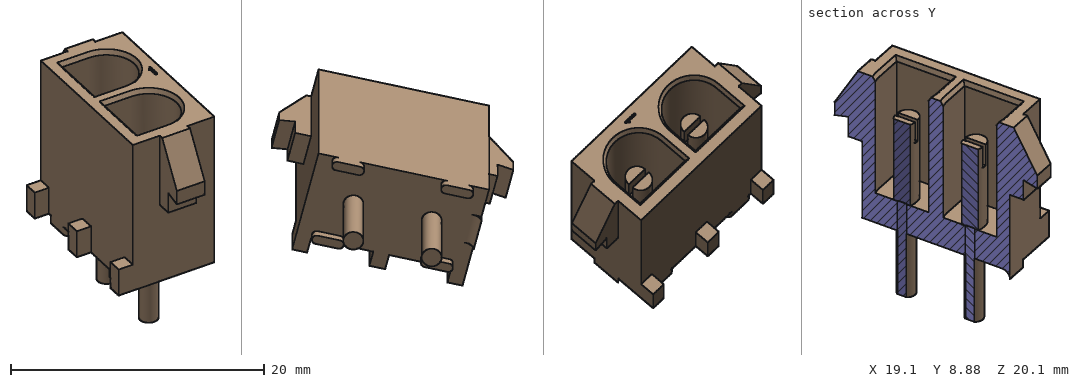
import cadquery as cq
import math


BODY_X = 13.86
BODY_Y = 7.58
BODY_Z = 13.96

PITCH = 6.37
CAVITY_WIDTH = 5.65
CAVITY_DEPTH = 11.08
LEAD_IN_WIDTH = 0.25
LEAD_IN_DEPTH = 0.4

LATCH_WIDTH = 2.58
LATCH_REACH = (19.05 - BODY_X) / 2
LATCH_TOP_REACH = 0.38
LATCH_ROOT_REACH = LATCH_REACH / 2
LATCH_TIP_TOP = 3.79
LATCH_TIP_BOTTOM = 5.08
LATCH_NOTCH_TOP = 4.75
LATCH_ROOT_BOTTOM = 6.63

PEG_DEPTH = 1.3
PEG_HEIGHT = 2.5
CORNER_PEG_WIDTH = 1.23
MIDDLE_PEG_WIDTH = 1.29

FOOT_HEIGHT = 0.75
FOOT_LENGTH = 2.58
FOOT_WIDTH = 0.77
FOOT_X = 4.43

ARROW_HEIGHT = 0.1
ARROW_TIP_X = -1.55
ARROW_TOP_Y = 3.05
ARROW_LENGTH = 1.09
ARROW_SHAFT = 0.15
ARROW_BARB = 0.28

CONTACT_RADIUS = 0.93
SLOT_WIDTH = 0.4
SLOT_DEPTH = 2.02
CONTACT_TOP = BODY_Z - 3.32

TAIL_DIAMETER = 1.6
TAIL_LENGTH = 20.15 - BODY_Z - ARROW_HEIGHT

CAVITY_FLOOR = BODY_Z - CAVITY_DEPTH
POSITIONS = (-PITCH / 2, PITCH / 2)


def cavity_outline(x, z, half_width):
    """D-shaped wire: semicircle towards +Y, square corners towards -Y."""
    return (
        cq.Workplane("XY", origin=(x, 0, z))
        .moveTo(-half_width, -half_width)
        .lineTo(half_width, -half_width)
        .lineTo(half_width, 0)
        .threePointArc((0, half_width), (-half_width, 0))
        .close()
    )


def make_cavity(x):
    """Straight D-shaped cavity with a tapered lead-in at its mouth."""
    half_mouth = CAVITY_WIDTH / 2
    half_width = half_mouth - LEAD_IN_WIDTH
    taper = math.degrees(math.atan2(LEAD_IN_WIDTH, LEAD_IN_DEPTH))
    well = cavity_outline(x, CAVITY_FLOOR, half_width).extrude(CAVITY_DEPTH)
    lead_in = cavity_outline(x, BODY_Z, half_mouth).extrude(-LEAD_IN_DEPTH, taper=taper)
    return well.union(lead_in)


def make_latch():
    """Barbed latch on the +X end wall."""
    wall = BODY_X / 2
    return (
        cq.Workplane("XZ", origin=(wall, 0, BODY_Z))
        .polyline([
            (0, 0),
            (LATCH_TOP_REACH, 0),
            (LATCH_REACH, -LATCH_TIP_TOP),
            (LATCH_REACH, -LATCH_TIP_BOTTOM),
            (LATCH_ROOT_REACH, -LATCH_NOTCH_TOP),
            (LATCH_ROOT_REACH, -LATCH_ROOT_BOTTOM),
            (0, -LATCH_ROOT_BOTTOM),
        ])
        .close()
        .extrude(LATCH_WIDTH / 2, both=True)
    )


def make_peg(x, width):
    """Square peg standing out from the front wall, flush with the underside."""
    return (
        cq.Workplane("XY", origin=(x, -(BODY_Y + PEG_DEPTH) / 2, 0))
        .rect(width, PEG_DEPTH)
        .extrude(PEG_HEIGHT)
    )


def make_feet():
    """Four round-ended feet along the front and back edges."""
    foot_y = (BODY_Y - FOOT_WIDTH) / 2
    return (
        cq.Workplane("XY")
        .rect(2 * FOOT_X, 2 * foot_y, forConstruction=True)
        .vertices()
        .slot2D(FOOT_LENGTH, FOOT_WIDTH)
        .extrude(-FOOT_HEIGHT)
    )


def make_end_fin():
    """Fin below the -X wall, its inner side a concave quarter round."""
    radius = FOOT_HEIGHT
    inset = radius * (1 - math.sqrt(0.5))
    return (
        cq.Workplane("XZ", origin=(-BODY_X / 2, 0, 0))
        .moveTo(0, 0)
        .lineTo(radius, 0)
        .threePointArc((inset, -inset), (0, -radius))
        .close()
        .extrude(LATCH_WIDTH / 2, both=True)
    )


def make_arrow():
    """Raised half arrow pointing towards -X."""
    return (
        cq.Workplane("XY", origin=(ARROW_TIP_X, ARROW_TOP_Y, BODY_Z))
        .polyline([
            (0, 0),
            (ARROW_LENGTH, 0),
            (ARROW_LENGTH, -ARROW_SHAFT),
            (ARROW_BARB, -ARROW_SHAFT),
            (ARROW_BARB, -ARROW_BARB),
            (0, -ARROW_SHAFT / 2),
        ])
        .close()
        .extrude(ARROW_HEIGHT)
    )


def make_housing():
    """Housing with its latches, pegs, feet, cavities and tail holes."""
    body = cq.Workplane("XY").box(BODY_X, BODY_Y, BODY_Z, centered=(True, True, False))

    latch = make_latch()
    body = body.union(latch).union(latch.mirror("YZ"))

    corner_peg_x = (BODY_X - CORNER_PEG_WIDTH) / 2
    for x in (-corner_peg_x, corner_peg_x):
        body = body.union(make_peg(x, CORNER_PEG_WIDTH))
    body = body.union(make_peg(0, MIDDLE_PEG_WIDTH))

    body = body.union(make_feet()).union(make_end_fin()).union(make_arrow())

    for x in POSITIONS:
        body = body.cut(make_cavity(x)).cut(make_tail(x))
    return body


def make_contact(x):
    """Slotted contact standing on the cavity floor."""
    height = CONTACT_TOP - CAVITY_FLOOR
    post = (
        cq.Workplane("XY", origin=(x, 0, CAVITY_FLOOR))
        .slot2D(2 * CONTACT_RADIUS + SLOT_WIDTH, 2 * CONTACT_RADIUS, 90)
        .extrude(height)
    )
    slot = (
        cq.Workplane("XY", origin=(x, 0, CONTACT_TOP))
        .rect(2 * CONTACT_RADIUS, SLOT_WIDTH)
        .extrude(-SLOT_DEPTH)
    )
    return post.cut(slot)


def make_tail(x):
    """Round solder tail from the contact's foot out through the underside."""
    return (
        cq.Workplane("XY", origin=(x, 0, -TAIL_LENGTH))
        .circle(TAIL_DIAMETER / 2)
        .extrude(TAIL_LENGTH + CAVITY_FLOOR)
    )


housing = make_housing()
contacts = [make_contact(x).val() for x in POSITIONS]
tails = [make_tail(x).val() for x in POSITIONS]

result = cq.Compound.makeCompound([housing.val(), *contacts, *tails])